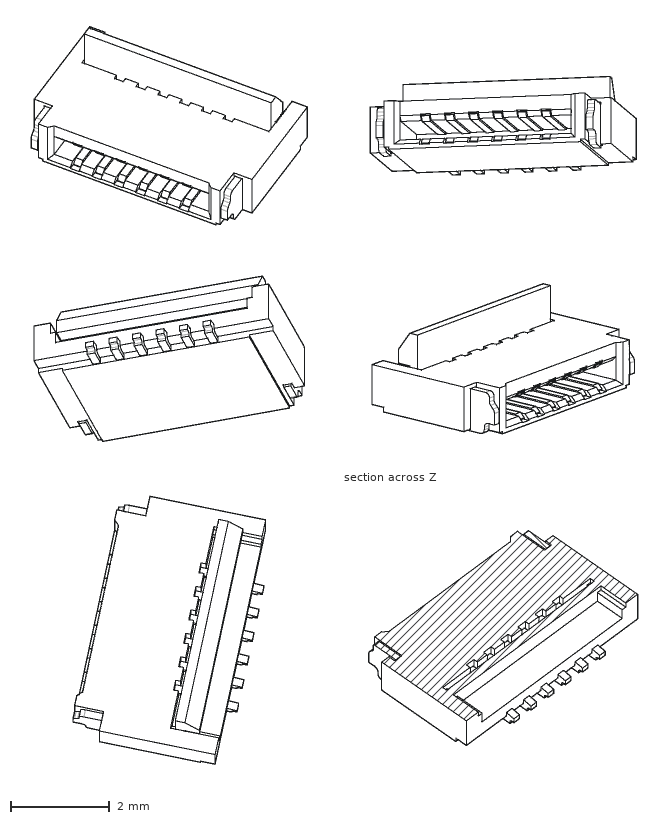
import cadquery as cq

HOUSING_WIDTH = 5.0
HOUSING_DEPTH = 3.0
HOUSING_TOP = 1.0
NECK_WIDTH = 4.17
NECK_DEPTH = 0.6
BASE_WIDTH = 3.98
BASE_HEIGHT = 0.05
TAIL_RELIEF_DEPTH = 0.3
TAIL_RELIEF_HEIGHT = 0.15

CAVITY_WIDTH = 3.55
CAVITY_FLOOR = 0.2
CAVITY_ROOF = 0.6
CAVITY_END = 1.7
LEAD_IN = 0.1

RECESS_START = 2.0
RECESS_FLOOR = 0.5
RECESS_WIDTH = 4.08
LEDGE_WIDTH = 4.29
LEDGE_HEIGHT = 0.75

FLAP_TOP = 1.72
FLAP_FRONT = 2.1
FLAP_WEB_BACK = 2.3
FLAP_BACK = 2.6
FLAP_SLOPE_START = 1.315
FLAP_CLEARANCE = 0.02

CONTACT_COUNT = 6
CONTACT_PITCH = 0.5
CONTACT_WIDTH = 0.165
CONTACT_SLOT_WIDTH = 0.205
CONTACT_NOTCH_START = 1.9
SLOT_BEYOND_CAVITY = 0.12
ARM_PROUD = 0.02
ARM_THICKNESS = 0.115
ARM_NOSE = 0.1

TAIL_END = 3.21
TAIL_TOP = 0.25
TAIL_END_TOP = 0.215
TAIL_FOOT_TOP = 0.1
TAIL_FOOT_FRONT = 2.72
TAIL_FOOT_BACK = 3.1
TAIL_LEG_FRONT = 2.96
TAIL_BEND = 0.05

NAIL_THICKNESS = 0.15
NAIL_TOP = 0.9
NAIL_FRONT = 0.13
NAIL_NOSE_TOP = 0.55
NAIL_NOSE_BOTTOM = 0.25
NAIL_FOOT_FRONT = 0.265
NAIL_BACK = 0.76
NAIL_RADIUS = 0.1
NAIL_NOSE_RADIUS = 0.125
NAIL_INNER_GAP = 0.02
NAIL_OUTER_GAP = 0.025
NAIL_TOP_GAP = 0.015

NAIL_INNER = NECK_WIDTH / 2 + NAIL_INNER_GAP
NAIL_CENTRE = NAIL_INNER + NAIL_THICKNESS / 2
CONTACT_POSITIONS = [(i - (CONTACT_COUNT - 1) / 2) * CONTACT_PITCH for i in range(CONTACT_COUNT)]


def block(x_range, y_range, z_range):
    """Box between two limits on each axis."""
    limits = (x_range, y_range, z_range)
    size = [high - low for low, high in limits]
    corner = [low for low, high in limits]
    return cq.Workplane("XY").box(*size, centered=False).translate(tuple(corner))


def centred_block(width, y_range, z_range, x=0.0):
    """Box of a given width centred on x."""
    return block((x - width / 2, x + width / 2), y_range, z_range)


def side_profile(points, width, x=0.0):
    """Outline in (Y, Z), extruded to a given width centred on x."""
    profile = cq.Workplane("YZ").polyline(points).close().extrude(width / 2, both=True)
    return profile.translate((x, 0, 0))


def round_corner(body, y, z, radius):
    """Round the edge along X that passes through (y, z)."""
    reach = 0.0005
    selector = cq.selectors.BoxSelector(
        (-HOUSING_WIDTH, y - reach, z - reach), (HOUSING_WIDTH, y + reach, z + reach)
    )
    return body.edges(selector).fillet(radius)


def make_shell():
    """Outer block of the housing with its neck, base pad and rear relief."""
    relief_start = HOUSING_DEPTH - TAIL_RELIEF_DEPTH
    main = centred_block(HOUSING_WIDTH, (NECK_DEPTH, HOUSING_DEPTH), (BASE_HEIGHT, HOUSING_TOP))
    neck = centred_block(NECK_WIDTH, (0, NECK_DEPTH), (BASE_HEIGHT, HOUSING_TOP))
    base = centred_block(BASE_WIDTH, (0, relief_start), (0, BASE_HEIGHT))
    relief = centred_block(HOUSING_WIDTH, (relief_start, HOUSING_DEPTH), (0, TAIL_RELIEF_HEIGHT))
    return main.union(neck).union(base).cut(relief)


def make_opening():
    """Cable opening: a flared mouth, open at the top, and the cavity behind it."""
    half = CAVITY_WIDTH / 2
    mouth_plan = [(-half - LEAD_IN, 0), (half + LEAD_IN, 0), (half, LEAD_IN), (-half, LEAD_IN)]
    mouth_side = [
        (0, CAVITY_FLOOR - LEAD_IN),
        (LEAD_IN, CAVITY_FLOOR),
        (LEAD_IN, HOUSING_TOP),
        (0, HOUSING_TOP),
    ]
    cavity_side = [
        (LEAD_IN, CAVITY_FLOOR),
        (CAVITY_END, CAVITY_FLOOR),
        (CAVITY_END, CAVITY_ROOF),
        (2 * LEAD_IN, CAVITY_ROOF),
        (LEAD_IN, CAVITY_ROOF + LEAD_IN),
    ]
    flare = cq.Workplane("XY").polyline(mouth_plan).close().extrude(HOUSING_TOP)
    mouth = flare.intersect(side_profile(mouth_side, HOUSING_WIDTH))
    return mouth.union(side_profile(cavity_side, CAVITY_WIDTH))


def make_recess():
    """Stepped pocket for the actuator, open at the top and the rear."""
    y_range = (RECESS_START, HOUSING_DEPTH)
    pocket = centred_block(RECESS_WIDTH, y_range, (RECESS_FLOOR, HOUSING_TOP))
    ledge = centred_block(LEDGE_WIDTH, y_range, (LEDGE_HEIGHT, HOUSING_TOP))
    return pocket.union(ledge)


def make_contact_slots(x):
    """Slots for one contact in the floor and the roof, and its notch in the top."""
    width = CONTACT_SLOT_WIDTH
    slot_floor = CAVITY_FLOOR - SLOT_BEYOND_CAVITY
    slot_roof = CAVITY_ROOF + SLOT_BEYOND_CAVITY
    floor_slot = centred_block(width, (0, CAVITY_END), (slot_floor, CAVITY_FLOOR), x)
    roof_slot = centred_block(width, (LEAD_IN, CAVITY_END), (CAVITY_ROOF, slot_roof), x)
    notch = centred_block(width, (CONTACT_NOTCH_START, RECESS_START), (RECESS_FLOOR, HOUSING_TOP), x)
    return floor_slot.union(roof_slot).union(notch)


def make_nail_slot(side):
    """Slot behind the shoulder for one nail, open at the front and the bottom."""
    outer = NAIL_INNER + NAIL_THICKNESS + NAIL_OUTER_GAP
    x_range = sorted((side * NECK_WIDTH / 2, side * outer))
    return block(x_range, (NECK_DEPTH, NAIL_BACK), (0, NAIL_TOP + NAIL_TOP_GAP))


def make_flap():
    """Actuator flap: a web in the recess and a head that overhangs to the rear."""
    head_bottom = HOUSING_TOP + FLAP_CLEARANCE
    points = [
        (FLAP_FRONT, LEDGE_HEIGHT),
        (FLAP_WEB_BACK, LEDGE_HEIGHT),
        (FLAP_WEB_BACK, head_bottom),
        (FLAP_BACK, head_bottom),
        (FLAP_BACK, FLAP_SLOPE_START),
        (FLAP_WEB_BACK, FLAP_TOP),
        (FLAP_FRONT, FLAP_TOP),
    ]
    web_foot = centred_block(RECESS_WIDTH, (FLAP_FRONT, FLAP_WEB_BACK), (RECESS_FLOOR, LEDGE_HEIGHT))
    return side_profile(points, LEDGE_WIDTH).union(web_foot)


def make_contact_arms(x):
    """Sloped-tip arms of one contact; the upper one runs back under the flap."""
    tip = LEAD_IN
    lower_top = CAVITY_FLOOR + ARM_PROUD
    lower_bottom = lower_top - ARM_THICKNESS
    upper_bottom = CAVITY_ROOF - ARM_PROUD
    upper_top = upper_bottom + ARM_THICKNESS
    lower = [
        (tip, lower_bottom),
        (CAVITY_END, lower_bottom),
        (CAVITY_END, lower_top),
        (tip + ARM_NOSE, lower_top),
        (tip, lower_top - ARM_NOSE),
    ]
    upper = [
        (tip, upper_top),
        (FLAP_WEB_BACK, upper_top),
        (FLAP_WEB_BACK, upper_bottom),
        (tip + ARM_NOSE, upper_bottom),
        (tip, upper_bottom + ARM_NOSE),
    ]
    return side_profile(lower, CONTACT_WIDTH, x).union(side_profile(upper, CONTACT_WIDTH, x))


def make_tail(x):
    """Solder tail of one contact, bent under the rear of the housing."""
    points = [
        (TAIL_FOOT_FRONT, 0),
        (TAIL_FOOT_BACK, 0),
        (TAIL_FOOT_BACK, TAIL_FOOT_TOP),
        (TAIL_END, TAIL_FOOT_TOP),
        (TAIL_END, TAIL_END_TOP),
        (HOUSING_DEPTH, TAIL_TOP),
        (TAIL_LEG_FRONT, TAIL_TOP),
        (TAIL_LEG_FRONT, TAIL_FOOT_TOP),
        (TAIL_FOOT_FRONT, TAIL_FOOT_TOP),
    ]
    bends = [
        (TAIL_FOOT_BACK, TAIL_FOOT_TOP),
        (TAIL_LEG_FRONT, TAIL_FOOT_TOP),
        (TAIL_FOOT_FRONT, TAIL_FOOT_TOP),
    ]
    tail = side_profile(points, CONTACT_WIDTH)
    for y, z in bends:
        tail = round_corner(tail, y, z, TAIL_BEND)
    return tail.translate((x, 0, 0))


def make_connector():
    """Housing in one piece with its flap and contacts."""
    connector = make_shell().cut(make_opening()).cut(make_recess())
    for side in (-1, 1):
        connector = connector.cut(make_nail_slot(side))
    for x in CONTACT_POSITIONS:
        connector = connector.cut(make_contact_slots(x))
    connector = connector.union(make_flap())
    for x in CONTACT_POSITIONS:
        connector = connector.union(make_contact_arms(x)).union(make_tail(x))
    return connector


def make_nail(side):
    """Flat solder nail standing in the slot on one side of the neck."""
    throat_height = NAIL_NOSE_TOP + NAIL_FRONT
    points = [
        (NAIL_BACK, 0),
        (NAIL_BACK, NAIL_TOP),
        (NAIL_FRONT, NAIL_TOP),
        (NAIL_FRONT, throat_height),
        (0, NAIL_NOSE_TOP),
        (0, NAIL_NOSE_BOTTOM),
        (NAIL_FOOT_FRONT, NAIL_NOSE_BOTTOM),
        (NAIL_FOOT_FRONT, 0),
    ]
    bends = [
        (NAIL_FRONT, NAIL_TOP, NAIL_RADIUS),
        (NAIL_FRONT, throat_height, NAIL_RADIUS),
        (0, NAIL_NOSE_TOP, NAIL_NOSE_RADIUS),
        (NAIL_FOOT_FRONT, NAIL_NOSE_BOTTOM, NAIL_RADIUS),
        (NAIL_FOOT_FRONT, 0, NAIL_RADIUS),
    ]
    nail = side_profile(points, NAIL_THICKNESS)
    for y, z, radius in bends:
        nail = round_corner(nail, y, z, radius)
    return nail.translate((side * NAIL_CENTRE, 0, 0))


connector = make_connector()
nails = [make_nail(side) for side in (-1, 1)]

result = cq.Compound.makeCompound([connector.val(), *[nail.val() for nail in nails]])